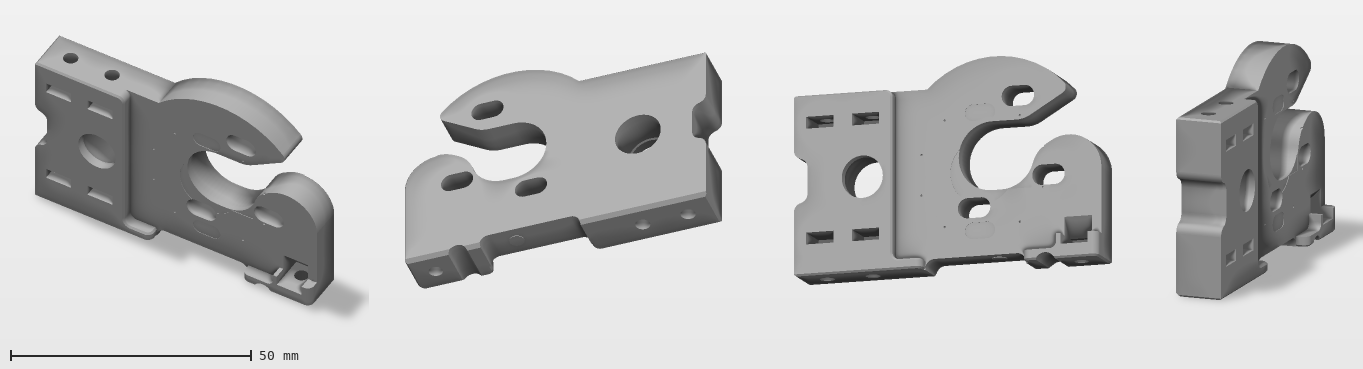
import cadquery as cq
import math

LENGTH = 66.5
DEPTH = 10.0
PLATE_FRONT = 2.7
MID_Y = DEPTH / 2
TOP_Z = 38.3
PLATE_BOTTOM = 2.2
EDGE_CHAMFER = 0.4
BACK_SIDE_CHAMFER = 0.25
BACK_BOTTOM_CHAMFER = 0.8
FILLET = 1.5

BLOCK_LENGTH = 21.5
LEFT_FOOT_END = 27.9
AXIS_Z = 20.15
BORE_X = 15.0
BORE_DIAMETER = 9.0
BORE_LIP = 2.0
COUNTERBORE_DIAMETER = 10.1
NUT_X = (5.7, 15.7)
NUT_LENGTH = 6.0
NUT_HEIGHT = 2.5
NUT_DEPTH = 8.0
NUT_OFFSET_Z = 12.3
BOLT_DIAMETER = 3.2
NOTCH_DEPTH = 3.0
NOTCH_HALF_FLAT = 2.75
NOTCH_RADIUS = 2.0

RIGHT_FOOT_START = 50.0
FOOT_STEP_X = 57.5
FOOT_STEP_Z = 5.25
RELIEF_RADIUS = 2.0
ARCH_X = 55.0
ARCH_HALF_WIDTH = 2.1
ARCH_HEIGHT = 1.4
POCKET_START = 58.4
POCKET_END = 64.4
POCKET_FLOOR = 2.95
POCKET_TOP = 9.2
POCKET_BACK = 8.0
POCKET_HOLE_DIAMETER = 3.0

OPENING_Z = 23.3
OPENING_RADIUS = 7.3
OPENING_LEFT_X = 42.5
OPENING_RIGHT_X = 44.5
BUMP_X = 59.2
BUMP_TOP_Z = 26.7
BUMP_RADIUS = LENGTH - BUMP_X
BUMP_CENTER = (BUMP_X, BUMP_TOP_Z - BUMP_RADIUS)
BUMP_SLOPE_ANGLE = math.radians(30)
BUMP_SLOPE_LENGTH = 1.15
CAP_X = 43.1
CAP_RADIUS = 21.0
CAP_TOP_Z = 44.39
CAP_Z = CAP_TOP_Z - CAP_RADIUS
TIP_RADIUS = 1.5
TIP_UNDERSIDE_X = 49.5
TIP_UNDERSIDE_ANGLE = math.radians(30.5)
TIP_UNDERSIDE_RADIUS = 6.0

SLOT_CENTERS = ((48.2, 35.7), (54.9, 18.5), (38.6, 12.5))
SLOT_LENGTH = 7.1
SLOT_WIDTH = 4.3
DIMPLE_CIRCLE_X = 40.4
DIMPLE_CIRCLE_RADIUS = 14.0
DIMPLE_DIAMETER = 0.5
DIMPLE_DEPTH = 0.4
DIMPLE_ANGLES = (18, 54, 126, 162, 198, 234, 306, 342)
RECESS_DEPTH = 0.1
RECESS_RADIUS = 7.0
RECESS_CORNER_X = 51.2
MARK_X = 39.9
MARK_LENGTH = 6.6
MARK_WIDTH = 3.5
MARK_OFFSET_Z = 12.55
STUD_X = 43.0
STUD_HEIGHT = 0.15

TOUCH = 0.1


def plane_at(y):
    """Upright sketch plane at a depth y: its local axes are X and Z."""
    return cq.Workplane("XZ", origin=(0, y, 0))


def on_circle(center, radius, angle):
    return (center[0] + radius * math.cos(angle), center[1] + radius * math.sin(angle))


def prism(sketch, depth):
    """Extrude a sketch toward +Y."""
    return sketch.extrude(-depth)


def edges_in(solid, x_range, y_range, z_range):
    """Select the edges whose middle lies in a box."""
    low, high = zip(x_range, y_range, z_range)
    return solid.edges(cq.selectors.BoxSelector(low, high))


def plate():
    opening_bottom = OPENING_Z - OPENING_RADIUS
    opening_top = OPENING_Z + OPENING_RADIUS
    opening_right = (OPENING_RIGHT_X, OPENING_Z)

    slope_normal = BUMP_SLOPE_ANGLE + math.pi / 2
    slope_top = on_circle(BUMP_CENTER, BUMP_RADIUS, slope_normal)
    slope_end = on_circle(slope_top, BUMP_SLOPE_LENGTH, BUMP_SLOPE_ANGLE + math.pi)

    end_x = slope_end[0] - OPENING_RIGHT_X
    end_z = slope_end[1] - OPENING_Z
    along_normal = end_x * math.cos(slope_normal) + end_z * math.sin(slope_normal)
    inner_radius = (end_x ** 2 + end_z ** 2 - OPENING_RADIUS ** 2) / (2 * (OPENING_RADIUS + along_normal))
    inner_center = on_circle(slope_end, -inner_radius, slope_normal)
    throat_angle = math.atan2(inner_center[1] - OPENING_Z, inner_center[0] - OPENING_RIGHT_X)
    throat = on_circle(opening_right, OPENING_RADIUS, throat_angle)
    inner_middle = on_circle(inner_center, inner_radius, (slope_normal + throat_angle + math.pi) / 2)
    opening_middle = on_circle(opening_right, OPENING_RADIUS, (throat_angle - math.pi / 2) / 2)

    slope = (math.cos(TIP_UNDERSIDE_ANGLE), math.sin(TIP_UNDERSIDE_ANGLE))
    back_x = TIP_UNDERSIDE_X - CAP_X
    back_z = opening_top - CAP_Z
    half_b = back_x * slope[0] + back_z * slope[1]
    reach = -half_b + math.sqrt(half_b ** 2 - back_x ** 2 - back_z ** 2 + CAP_RADIUS ** 2)
    tip = (TIP_UNDERSIDE_X + reach * slope[0], opening_top + reach * slope[1])
    cap_start_x = CAP_X - math.sqrt(CAP_RADIUS ** 2 - (TOP_Z - CAP_Z) ** 2)

    sketch = (
        plane_at(PLATE_FRONT)
        .moveTo(0, 0)
        .lineTo(LEFT_FOOT_END, 0)
        .lineTo(LEFT_FOOT_END, PLATE_BOTTOM)
        .lineTo(RIGHT_FOOT_START, PLATE_BOTTOM)
        .lineTo(RIGHT_FOOT_START, 0)
        .lineTo(LENGTH, 0)
        .lineTo(LENGTH, BUMP_CENTER[1])
        .threePointArc(on_circle(BUMP_CENTER, BUMP_RADIUS, slope_normal / 2), slope_top)
        .lineTo(*slope_end)
        .threePointArc(inner_middle, throat)
        .threePointArc(opening_middle, (OPENING_RIGHT_X, opening_bottom))
        .lineTo(OPENING_LEFT_X, opening_bottom)
        .threePointArc((OPENING_LEFT_X - OPENING_RADIUS, OPENING_Z), (OPENING_LEFT_X, opening_top))
        .lineTo(TIP_UNDERSIDE_X, opening_top)
        .lineTo(*tip)
        .threePointArc((CAP_X, CAP_TOP_Z), (cap_start_x, TOP_Z))
        .lineTo(0, TOP_Z)
        .close()
    )
    body = prism(sketch, DEPTH - PLATE_FRONT)

    def round_corner(solid, x, z, radius):
        corner = edges_in(solid, (x - TOUCH, x + TOUCH), (PLATE_FRONT, DEPTH), (z - TOUCH, z + TOUCH))
        return corner.fillet(radius)

    body = round_corner(body, tip[0], tip[1], TIP_RADIUS)
    body = round_corner(body, TIP_UNDERSIDE_X, opening_top, TIP_UNDERSIDE_RADIUS)
    body = round_corner(body, LEFT_FOOT_END, PLATE_BOTTOM, RELIEF_RADIUS)
    body = round_corner(body, RIGHT_FOOT_START, PLATE_BOTTOM, RELIEF_RADIUS)

    all_x = (-TOUCH, LENGTH + TOUCH)
    all_y = (PLATE_FRONT, DEPTH + TOUCH)
    at_back = (DEPTH - TOUCH, DEPTH + TOUCH)
    at_top = (TOP_Z - TOUCH, TOP_Z + TOUCH)
    at_bottom = (-TOUCH, TOUCH)
    body = edges_in(body, all_x, at_back, at_top).chamfer(EDGE_CHAMFER)
    body = edges_in(body, all_x, at_back, at_bottom).chamfer(BACK_BOTTOM_CHAMFER)
    body = edges_in(body, (-TOUCH, TOUCH), all_y, at_top).chamfer(EDGE_CHAMFER)
    body = edges_in(body, (-TOUCH, TOUCH), all_y, at_bottom).chamfer(EDGE_CHAMFER)
    return edges_in(body, (LENGTH - TOUCH, LENGTH + TOUCH), all_y, at_bottom).chamfer(EDGE_CHAMFER)


def back_side_chamfer():
    """Cutter that breaks the back edge of the right side and of the bump's right quarter."""
    triangle = [
        (BUMP_RADIUS - BACK_SIDE_CHAMFER, 0),
        (BUMP_RADIUS, 0),
        (BUMP_RADIUS, -BACK_SIDE_CHAMFER),
    ]
    base = cq.Workplane("XY", origin=(BUMP_X, DEPTH, BUMP_CENTER[1]))
    straight = base.polyline(triangle).close().extrude(-BUMP_CENTER[1])
    around_bump = base.polyline(triangle).close().revolve(90, (0, 0), (0, -1))
    return straight.union(around_bump)


def block_front():
    """Front layer of the block, running into a low foot at its lower right."""
    sketch = (
        plane_at(0)
        .moveTo(0, 0)
        .lineTo(LEFT_FOOT_END, 0)
        .lineTo(LEFT_FOOT_END, PLATE_BOTTOM)
        .lineTo(BLOCK_LENGTH + FILLET, PLATE_BOTTOM)
        .radiusArc((BLOCK_LENGTH, PLATE_BOTTOM + FILLET), FILLET)
        .lineTo(BLOCK_LENGTH, TOP_Z - FILLET)
        .radiusArc((BLOCK_LENGTH - FILLET, TOP_Z), -FILLET)
        .lineTo(0, TOP_Z)
        .close()
    )
    body = prism(sketch, PLATE_FRONT)
    body = body.faces(">X").edges("<Y").fillet(FILLET)
    body = body.edges("<Y and >Z").chamfer(EDGE_CHAMFER)
    body = body.faces("<X").edges(">Z or <Z").chamfer(EDGE_CHAMFER)
    return body.faces("<Z").edges("<Y").chamfer(EDGE_CHAMFER)


def right_foot():
    sketch = (
        plane_at(0)
        .moveTo(RIGHT_FOOT_START, 0)
        .lineTo(LENGTH, 0)
        .lineTo(LENGTH, FOOT_STEP_Z)
        .lineTo(FOOT_STEP_X, FOOT_STEP_Z)
        .lineTo(FOOT_STEP_X, PLATE_BOTTOM + FILLET)
        .radiusArc((FOOT_STEP_X - FILLET, PLATE_BOTTOM), FILLET)
        .lineTo(RIGHT_FOOT_START, PLATE_BOTTOM)
        .close()
    )
    body = prism(sketch, PLATE_FRONT)
    body = body.faces("<X").edges("<Y").fillet(FILLET)
    body = body.faces(">X").edges("<Y").fillet(FILLET)
    return body.faces("<Z").edges("<Y").chamfer(EDGE_CHAMFER)


def cable_notch():
    """Notch in the left end, entered through tangent S-curves above and below."""
    rise = math.sqrt((2 * NOTCH_RADIUS) ** 2 - (2 * NOTCH_RADIUS - NOTCH_DEPTH) ** 2)
    flat_top = AXIS_Z + NOTCH_HALF_FLAT
    flat_bottom = AXIS_Z - NOTCH_HALF_FLAT
    middle_x = NOTCH_DEPTH / 2
    sketch = (
        plane_at(0)
        .moveTo(0, flat_bottom - rise)
        .radiusArc((middle_x, flat_bottom - rise / 2), NOTCH_RADIUS)
        .radiusArc((NOTCH_DEPTH, flat_bottom), -NOTCH_RADIUS)
        .lineTo(NOTCH_DEPTH, flat_top)
        .radiusArc((middle_x, flat_top + rise / 2), -NOTCH_RADIUS)
        .radiusArc((0, flat_top + rise), NOTCH_RADIUS)
        .close()
    )
    return prism(sketch, DEPTH)


def block_bore():
    lip = prism(plane_at(0).center(BORE_X, AXIS_Z).circle(BORE_DIAMETER / 2), DEPTH)
    wide = plane_at(BORE_LIP).center(BORE_X, AXIS_Z).circle(COUNTERBORE_DIAMETER / 2)
    return lip.union(prism(wide, DEPTH - BORE_LIP))


def nut_traps():
    """Nut slots open at the front, each reached by a bolt hole from above or below."""
    low_z = AXIS_Z - NUT_OFFSET_Z
    high_z = AXIS_Z + NUT_OFFSET_Z
    centers = [(x, z) for x in NUT_X for z in (low_z, high_z)]
    slots = prism(plane_at(0).pushPoints(centers).rect(NUT_LENGTH, NUT_HEIGHT), NUT_DEPTH)
    bolts = [(x, MID_Y) for x in NUT_X]
    lower = cq.Workplane("XY").pushPoints(bolts).circle(BOLT_DIAMETER / 2).extrude(low_z)
    upper = (
        cq.Workplane("XY", origin=(0, 0, high_z))
        .pushPoints(bolts)
        .circle(BOLT_DIAMETER / 2)
        .extrude(TOP_Z - high_z)
    )
    return slots.union(lower).union(upper)


def foot_arch():
    sketch = (
        plane_at(0)
        .moveTo(ARCH_X - ARCH_HALF_WIDTH, 0)
        .threePointArc((ARCH_X, ARCH_HEIGHT), (ARCH_X + ARCH_HALF_WIDTH, 0))
        .close()
    )
    return prism(sketch, DEPTH)


def foot_pocket():
    """Pocket open at the front, with a 45 degree ramp in its ceiling and a hole down through its floor."""
    chamber = (
        cq.Workplane("YZ", origin=(POCKET_START, 0, 0))
        .moveTo(0, POCKET_FLOOR)
        .lineTo(POCKET_BACK, POCKET_FLOOR)
        .lineTo(POCKET_BACK, FOOT_STEP_Z)
        .lineTo(PLATE_FRONT + POCKET_TOP - FOOT_STEP_Z, FOOT_STEP_Z)
        .lineTo(PLATE_FRONT, POCKET_TOP)
        .lineTo(0, POCKET_TOP)
        .close()
        .extrude(POCKET_END - POCKET_START)
    )
    middle_x = (POCKET_START + POCKET_END) / 2
    hole = cq.Workplane("XY").center(middle_x, MID_Y).circle(POCKET_HOLE_DIAMETER / 2).extrude(POCKET_FLOOR)
    return chamber.union(hole)


def adjusting_slots():
    slots = plane_at(PLATE_FRONT).pushPoints(SLOT_CENTERS).slot2D(SLOT_LENGTH, SLOT_WIDTH)
    return prism(slots, DEPTH - PLATE_FRONT)


def dimples():
    center = (DIMPLE_CIRCLE_X, AXIS_Z)
    points = [on_circle(center, DIMPLE_CIRCLE_RADIUS, math.radians(angle)) for angle in DIMPLE_ANGLES]
    return prism(plane_at(PLATE_FRONT).pushPoints(points).circle(DIMPLE_DIAMETER / 2), DIMPLE_DEPTH)


def shallow_recesses():
    """Round relief around the opening and two obround marks, all barely sunk into the plate."""
    disc = prism(plane_at(PLATE_FRONT).center(DIMPLE_CIRCLE_X, AXIS_Z).circle(RECESS_RADIUS), RECESS_DEPTH)
    opening_bottom = OPENING_Z - OPENING_RADIUS
    corner = cq.Workplane("XY").box(
        RECESS_CORNER_X - OPENING_RIGHT_X, RECESS_DEPTH, OPENING_RADIUS / 2, centered=False
    )
    corner = corner.translate((OPENING_RIGHT_X, PLATE_FRONT, opening_bottom))
    mark_centers = [(MARK_X, AXIS_Z + offset) for offset in (-MARK_OFFSET_Z, MARK_OFFSET_Z)]
    obrounds = plane_at(PLATE_FRONT).pushPoints(mark_centers).slot2D(MARK_LENGTH, MARK_WIDTH)
    marks = prism(obrounds, RECESS_DEPTH)
    return disc.union(corner).union(marks)


def bottom_stud():
    """Low round pad under the plate, halfway through its thickness."""
    middle_y = (PLATE_FRONT + DEPTH) / 2
    pad = cq.Workplane("XY", origin=(STUD_X, middle_y, PLATE_BOTTOM - STUD_HEIGHT))
    return pad.circle(BOLT_DIAMETER / 2).extrude(2 * STUD_HEIGHT)


result = plate().union(block_front()).union(right_foot()).union(bottom_stud())
for cutter in (
    back_side_chamfer(),
    cable_notch(),
    block_bore(),
    nut_traps(),
    foot_arch(),
    foot_pocket(),
    adjusting_slots(),
    dimples(),
    shallow_recesses(),
):
    result = result.cut(cutter)